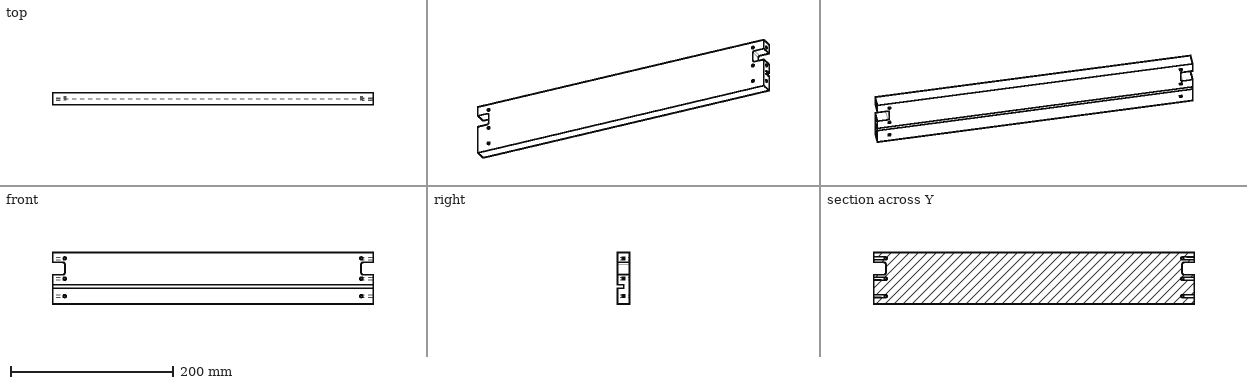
import cadquery as cq

length = 395.8
thickness = 15.0
height = 64.0

notch_depth = 15.0
notch_height = 15.0
notch_center_z = height - 20.0
notch_corner_radius = 2.0

groove_width = 4.0
groove_depth = thickness / 2
groove_bottom_z = 20.0

hole_diameter = 3.0
hole_end_distance = 15.0
hole_offset_from_notch = 12.5
lower_hole_z = 10.0
hole_heights = [
    lower_hole_z,
    notch_center_z - hole_offset_from_notch,
    notch_center_z + hole_offset_from_notch,
]

ends = (-1, 1)


def board():
    """Plain board, centred on X and Y and standing on Z = 0."""
    return cq.Workplane("XY").box(length, thickness, height, centered=(True, True, False))


def end_notch(end):
    """Notch cutter, twice the notch depth so that it is centred on the end face."""
    return (
        cq.Workplane("XY")
        .box(2 * notch_depth, thickness, notch_height)
        .edges("|Y")
        .fillet(notch_corner_radius)
        .translate((end * length / 2, 0, notch_center_z))
    )


def front_groove():
    """Rectangular groove cutter running the full length of the front face."""
    return (
        cq.Workplane("XY")
        .box(length, groove_depth, groove_width, centered=(True, False, False))
        .translate((0, -thickness / 2, groove_bottom_z))
    )


def cross_hole(end, z):
    """Hole cutter through the thickness near one end."""
    start = cq.Vector(end * (length / 2 - hole_end_distance), -thickness / 2, z)
    return cq.Solid.makeCylinder(hole_diameter / 2, thickness, start, cq.Vector(0, 1, 0))


def end_hole(end, z):
    """Hole cutter from the end face to the axis of the cross hole."""
    start = cq.Vector(end * length / 2, 0, z)
    return cq.Solid.makeCylinder(hole_diameter / 2, hole_end_distance, start, cq.Vector(-end, 0, 0))


result = board().cut(front_groove())
for end in ends:
    result = result.cut(end_notch(end))
    for z in hole_heights:
        result = result.cut(cross_hole(end, z))
        result = result.cut(end_hole(end, z))